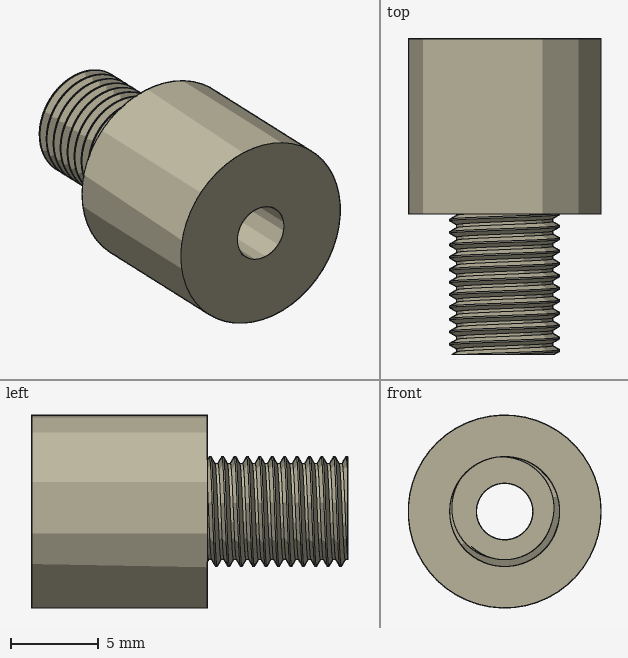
import cadquery as cq
import math

total_length = 18.0
body_diameter = 11.0
body_length = 10.0
bore_diameter = 3.2

thread_diameter = 6.26
root_diameter = 5.49
thread_turns = 11.3
flank_angle = 30.0
crest_from_tip = 0.23
root_overlap = 0.05

stud_length = total_length - body_length
pitch = stud_length / thread_turns
crest_width = pitch / 8
root_radius = root_diameter / 2
crest_radius = thread_diameter / 2


def make_ridge(start_height, turns):
    """Helical ridge about Z whose crest starts on +X at start_height."""
    inner_radius = root_radius - root_overlap
    half_crest = crest_width / 2
    half_base = half_crest + (crest_radius - inner_radius) * math.tan(math.radians(flank_angle))
    path = cq.Wire.makeHelix(pitch, turns * pitch, root_radius, center=cq.Vector(0, 0, start_height))
    profile = (
        cq.Workplane("XZ")
        .moveTo(inner_radius, start_height - half_base)
        .lineTo(crest_radius, start_height - half_crest)
        .lineTo(crest_radius, start_height + half_crest)
        .lineTo(inner_radius, start_height + half_base)
        .close()
    )
    return profile.sweep(cq.Workplane(obj=path), isFrenet=True)


def make_stud():
    """Threaded stud along Z, from the tip at Z = 0 to the shoulder."""
    lead_in_turns = 2
    run_out_turns = 1
    ridge = make_ridge(crest_from_tip - lead_in_turns * pitch, lead_in_turns + thread_turns + run_out_turns)
    envelope = cq.Workplane("XY").circle(body_diameter / 2).extrude(stud_length)
    core = cq.Workplane("XY").circle(root_radius).extrude(stud_length)
    return core.union(ridge.intersect(envelope))


body = cq.Workplane("XY", origin=(0, 0, stud_length)).circle(body_diameter / 2).extrude(body_length)
bore = cq.Workplane("XY").circle(bore_diameter / 2).extrude(total_length)
upright = make_stud().union(body).cut(bore)

result = upright.rotate((0, 0, 0), (1, 0, 0), -90).translate((0, -stud_length, 0))